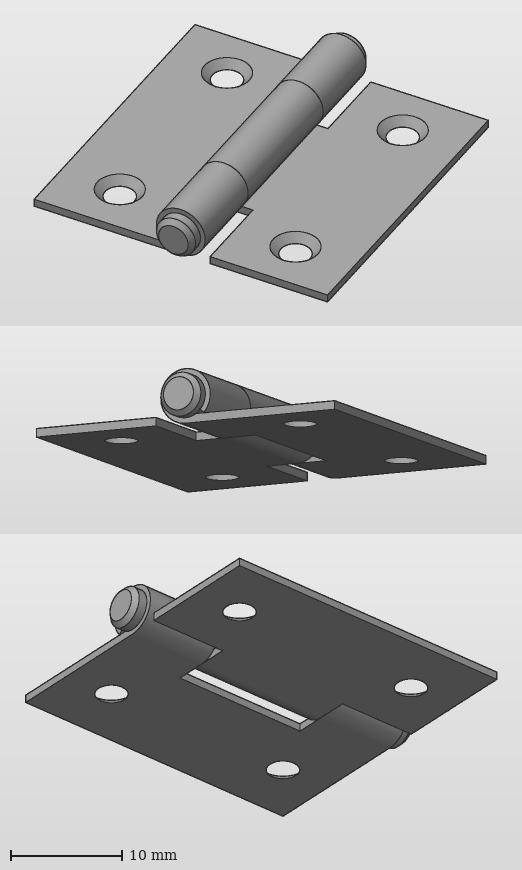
import cadquery as cq
import math


hinge_width = 30.0
leaf_length = 30.0
pin_length = 32.8
knuckle_diameter = 5.0
bore_diameter = 3.4
middle_knuckle_length = 14.0
plate_edge_offset = 3.0
curl_end_gap = 0.03

pin_head_diameter = 4.0
pin_head_chamfer = 0.5

hole_spacing_y = 20.0
hole_offset_x = 9.0
hole_diameter = 3.0
countersink_diameter = 4.6

knuckle_radius = knuckle_diameter / 2
bore_radius = bore_diameter / 2
plate_thickness = knuckle_radius - bore_radius
plate_bottom = -knuckle_radius
plate_top = -bore_radius
end_knuckle_length = (leaf_length - middle_knuckle_length) / 2
end_knuckle_center = (middle_knuckle_length + end_knuckle_length) / 2
pin_head_length = (pin_length - leaf_length) / 2


def knuckle(center_y, length):
    """Strip of plate rolled into a curl, opening to the left with a radial free end."""
    end_angle = math.pi + math.asin((bore_radius - curl_end_gap) / knuckle_radius)
    middle_angle = (end_angle - math.pi / 2) / 2

    def on_circle(radius, angle):
        return (radius * math.cos(angle), radius * math.sin(angle))

    return (
        cq.Workplane("XZ", origin=(0, center_y - length / 2, 0))
        .moveTo(-plate_edge_offset, plate_bottom)
        .lineTo(0, plate_bottom)
        .threePointArc(on_circle(knuckle_radius, middle_angle), on_circle(knuckle_radius, end_angle))
        .lineTo(*on_circle(bore_radius, end_angle))
        .threePointArc(on_circle(bore_radius, middle_angle), (0, plate_top))
        .lineTo(-plate_edge_offset, plate_top)
        .close()
        .extrude(-length)
    )


def countersunk_hole(center_y):
    """Conical cutter that runs through the whole plate thickness."""
    return cq.Workplane(
        cq.Solid.makeCone(
            hole_diameter / 2,
            countersink_diameter / 2,
            plate_thickness,
            pnt=cq.Vector(-hole_offset_x, center_y, plate_bottom),
        )
    )


def make_leaf(knuckles):
    """Left-hand leaf with a knuckle for each (center, length) pair along Y."""
    plate_width = hinge_width / 2 - plate_edge_offset
    leaf = cq.Workplane("XY", origin=(-plate_edge_offset - plate_width / 2, 0, plate_bottom)).box(
        plate_width, leaf_length, plate_thickness, centered=(True, True, False)
    )
    for center_y, length in knuckles:
        leaf = leaf.union(knuckle(center_y, length))
    for side in (-1, 1):
        leaf = leaf.cut(countersunk_hole(side * hole_spacing_y / 2))
    return leaf


def make_pin():
    """Shank filling the knuckles, with a chamfered head against each end of the barrel."""
    pin = cq.Workplane("XZ").circle(bore_radius).extrude(leaf_length / 2, both=True)
    head = (
        cq.Workplane("XZ", origin=(0, -leaf_length / 2, 0))
        .circle(pin_head_diameter / 2)
        .extrude(pin_head_length)
        .faces("<Y")
        .chamfer(pin_head_chamfer)
    )
    return pin.union(head).union(head.mirror("XZ"))


outer_leaf = make_leaf([(-end_knuckle_center, end_knuckle_length), (end_knuckle_center, end_knuckle_length)])
middle_leaf = make_leaf([(0, middle_knuckle_length)]).mirror("YZ")
pin = make_pin()

result = cq.Compound.makeCompound([body.solids().val() for body in (outer_leaf, middle_leaf, pin)])